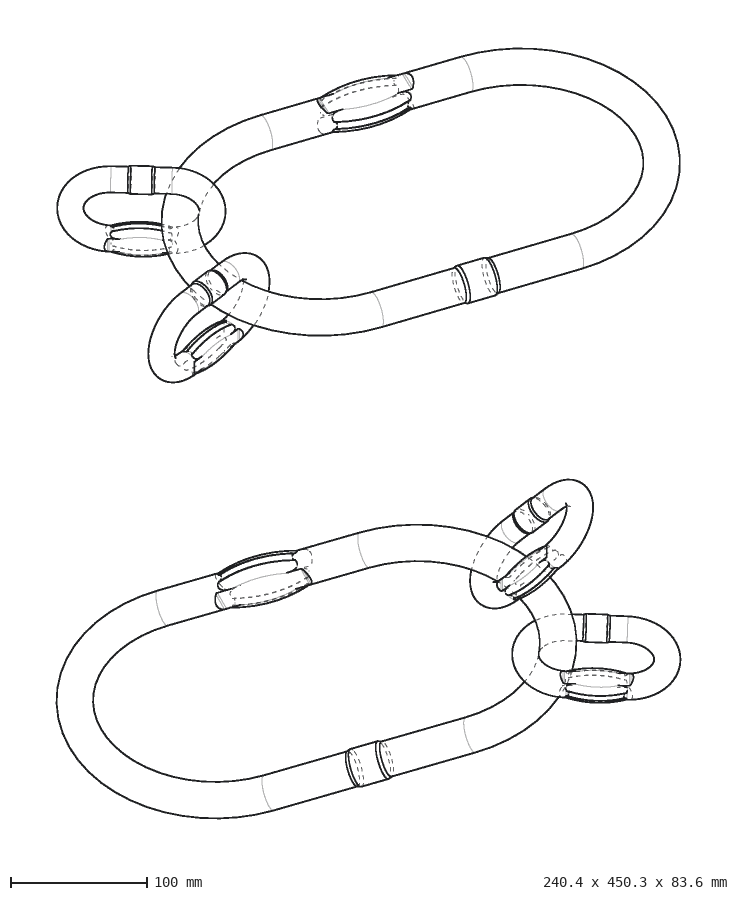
import cadquery as cq
import math

MASTER_WIRE = 27.0
MASTER_INNER_LENGTH = 340.0
MASTER_INNER_WIDTH = 180.0

COUPLING_WIRE = 19.5
COUPLING_INNER_LENGTH = 85.0
COUPLING_INNER_WIDTH = 40.0
COUPLING_SPLAY = 25.0
COUPLING_X = 63.2
COUPLING_Y = -196.21

BAND_DIAMETER = 1.0748
BAND_LENGTH = 1.0
BAND_CHAMFER_LENGTH = 0.1
BULGE_HALF_WIDTH = 0.6978
BULGE_ARC_RADIUS = 3.04
BULGE_EDGE_RADIUS = 0.244
FLAT_HEIGHT = 0.374
FLAT_LENGTH = 2.51
FLAT_END_SLOPE = 45.0
FLAT_CORNER_RADIUS = 0.075
BULGE_LENGTH = 2.4
GROOVE_WIDTH = 0.26
GROOVE_DEPTH = 0.014


def make_oval(wire, inner_length, inner_width):
    """Wire of round section swept along two straight legs and two half circles."""
    bend = (inner_width + wire) / 2
    half_leg = (inner_length - inner_width) / 2
    path = (
        cq.Workplane("XY")
        .moveTo(bend, -half_leg)
        .lineTo(bend, half_leg)
        .threePointArc((0, half_leg + bend), (-bend, half_leg))
        .lineTo(-bend, -half_leg)
        .threePointArc((0, -half_leg - bend), (bend, -half_leg))
        .close()
    )
    section = cq.Workplane("XZ", origin=(bend, -half_leg, 0)).circle(wire / 2)
    return section.sweep(path)


def make_band(wire):
    """Weld band along Y with a shallow cone at each end, centred on the origin."""
    half_length = BAND_LENGTH * wire / 2
    half_land = half_length - BAND_CHAMFER_LENGTH * wire
    band_radius = BAND_DIAMETER * wire / 2
    profile = [
        (0, -half_length),
        (wire / 2, -half_length),
        (band_radius, -half_land),
        (band_radius, half_land),
        (wire / 2, half_length),
        (0, half_length),
    ]
    return cq.Workplane("XY").polyline(profile).close().revolve(360, (0, 0, 0), (0, 1, 0))


def make_flat_cutter(wire):
    """Block that cuts the upper flat of the seat, with steep ends and rounded lower corners."""
    height = FLAT_HEIGHT * wire
    top = wire
    half_floor = FLAT_LENGTH * wire / 2
    half_top = half_floor + (top - height) / math.tan(math.radians(FLAT_END_SLOPE))
    profile = [(-half_floor, height), (half_floor, height), (half_top, top), (-half_top, top)]
    block = cq.Workplane("YZ").polyline(profile).close().extrude(wire, both=True)
    return block.faces("<Z").edges("|X").fillet(FLAT_CORNER_RADIUS * wire)


def make_lens(wire, half_width, half_height):
    """Plate along Y whose two long sides bow outward, centred on the origin."""
    half_length = BULGE_LENGTH * wire / 2
    arc_radius = BULGE_ARC_RADIUS * wire
    bow = arc_radius - math.sqrt(arc_radius**2 - half_length**2)
    half_end = half_width - bow
    return (
        cq.Workplane("XY")
        .moveTo(half_end, -half_length)
        .threePointArc((half_width, 0), (half_end, half_length))
        .lineTo(-half_end, half_length)
        .threePointArc((-half_width, 0), (-half_end, -half_length))
        .close()
        .extrude(half_height, both=True)
    )


def make_bulge(wire):
    """Bowed plate with rounded long edges and a shallow groove along both sides."""
    half_width = BULGE_HALF_WIDTH * wire
    half_groove = GROOVE_WIDTH * wire / 2
    plate = make_lens(wire, half_width, FLAT_HEIGHT * wire)
    plate = plate.edges("%CIRCLE").fillet(BULGE_EDGE_RADIUS * wire)
    groove_floor = make_lens(wire, half_width - GROOVE_DEPTH * wire, half_groove)
    block_size = 2 * BULGE_LENGTH * wire
    groove_block = cq.Workplane("XY").rect(block_size, block_size).extrude(half_groove, both=True)
    return plate.cut(groove_block.cut(groove_floor))


def make_link(wire, inner_length, inner_width):
    """Complete link in the XY plane: long axis Y, band on the +X leg, bulge on the -X leg."""
    leg_x = (inner_width + wire) / 2
    flat_cutter = make_flat_cutter(wire).translate((-leg_x, 0, 0))
    link = make_oval(wire, inner_length, inner_width)
    link = link.cut(flat_cutter).cut(flat_cutter.mirror("XY"))
    link = link.union(make_bulge(wire).translate((-leg_x, 0, 0)))
    return link.union(make_band(wire).translate((leg_x, 0, 0)))


def make_coupling_link(side):
    """Coupling link on one side (-1 or +1), band uppermost, lower end splayed outward."""
    link = make_link(COUPLING_WIRE, COUPLING_INNER_LENGTH, COUPLING_INNER_WIDTH)
    upright = link.rotate((0, 0, 0), (0, 1, 0), -90)
    splayed = upright.rotate((0, 0, 0), (0, 0, 1), side * COUPLING_SPLAY)
    return splayed.translate((side * COUPLING_X, COUPLING_Y, 0))


master_link = make_link(MASTER_WIRE, MASTER_INNER_LENGTH, MASTER_INNER_WIDTH)
coupling_links = [make_coupling_link(side) for side in (-1, 1)]

result = cq.Compound.makeCompound([link.solids().val() for link in (master_link, *coupling_links)])